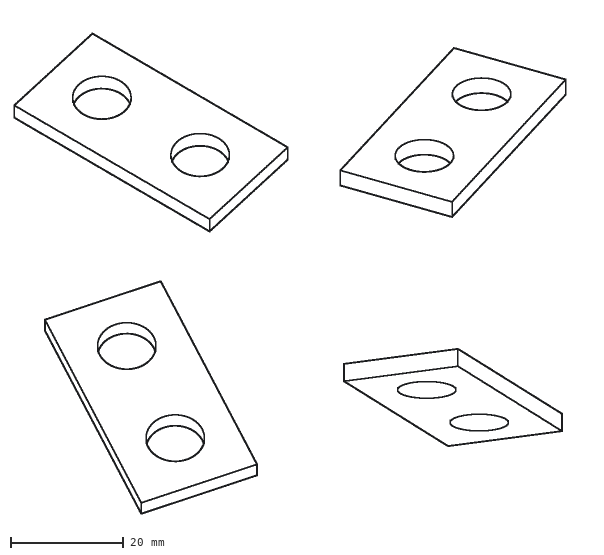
import cadquery as cq

length = 44.45
width = 22.35
thickness = 3.25

hole_diameter = 10.4
hole_spacing = 22.35

plate = cq.Workplane("XY").box(length, width, thickness)

result = (
    plate.faces(">Z")
    .workplane()
    .rarray(hole_spacing, 0.45, 2, 1)
    .hole(hole_diameter)
)